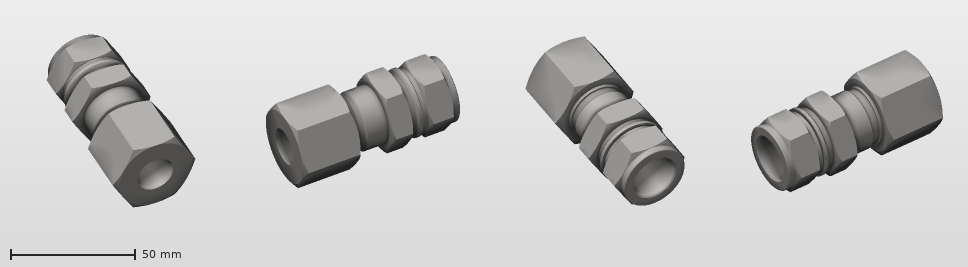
import math
import cadquery as cq

TOTAL_LENGTH = 72.57

NUT_FLATS = 28.575
BULKHEAD_FLATS = 30.16
FEMALE_FLATS = 31.8
CHAMFER_ANGLE = 30.0

NUT_FRONT_COLLAR_DIAMETER = 28.2
NUT_BACK_COLLAR_DIAMETER = 27.8
NUT_HEX_START = 2.95
NUT_HEX_END = 14.6
NUT_END = 16.6
NUT_FRONT_FILLET = 0.5
NUT_BACK_FILLET = 0.3

BODY_DIAMETER = 25.4
FLANGE_DIAMETER = 29.5
FLANGE_START = 17.17
FLANGE_END = 18.57
HUB_DIAMETER = 26.9
HUB_START = 19.6
HUB_END = 21.65
HUB_GROOVE_DIAMETER = 26.2

BULKHEAD_START = 22.0
BULKHEAD_END = 31.92
BULKHEAD_FACE_DIAMETER = 27.8
BULKHEAD_ROUNDING_DEPTH = 1.4

BODY_END = 41.2
RELIEF_DIAMETER = 23.7
COLLAR_START = 44.9
FEMALE_START = 46.25

TUBE_SOCKET_DIAMETER = 19.25
TUBE_SOCKET_DEPTH = 24.4
SOCKET_CHAMFER = 0.5
BORE_DIAMETER = 15.75


def cylinder(start, end, diameter):
    """Solid cylinder along X between two stations."""
    plane = cq.Workplane("YZ", origin=(start, 0, 0))
    return plane.circle(diameter / 2).extrude(end - start)


def cone(start, end, start_diameter, end_diameter):
    """Solid truncated cone along X between two stations."""
    profile = (
        cq.Workplane("XY")
        .moveTo(start, 0)
        .lineTo(start, start_diameter / 2)
        .lineTo(end, end_diameter / 2)
        .lineTo(end, 0)
        .close()
    )
    return profile.revolve(360, (0, 0, 0), (1, 0, 0))


def corner_diameter(flats):
    """Width across the corners of a hexagon."""
    return flats / math.cos(math.radians(30))


def hexagon(start, end, flats):
    """Hexagonal prism along X with corners on the Y axis."""
    plane = cq.Workplane("YZ", origin=(start, 0, 0))
    return plane.polygon(6, corner_diameter(flats)).extrude(end - start)


def chamfered_hexagon(start, end, flats, face_diameter):
    """Hexagon whose corners are cut by a cone growing from each end face."""
    corner_radius = corner_diameter(flats) / 2
    slope = math.tan(math.radians(CHAMFER_ANGLE))
    depth = (corner_radius - face_diameter / 2) * slope
    envelope = (
        cq.Workplane("XY")
        .moveTo(start, 0)
        .lineTo(start, face_diameter / 2)
        .lineTo(start + depth, corner_radius)
        .lineTo(end - depth, corner_radius)
        .lineTo(end, face_diameter / 2)
        .lineTo(end, 0)
        .close()
        .revolve(360, (0, 0, 0), (1, 0, 0))
    )
    return hexagon(start, end, flats).intersect(envelope)


def rounded_hexagon(start, end, flats, face_diameter, depth):
    """Hexagon whose corners are rounded by arcs tangent to the end faces."""
    corner_radius = corner_diameter(flats) / 2
    face_radius = face_diameter / 2
    rise = corner_radius - face_radius
    arc_radius = (depth**2 + rise**2) / (2 * depth)
    half_angle = math.asin(rise / arc_radius) / 2
    middle_depth = arc_radius * (1 - math.cos(half_angle))
    middle_radius = face_radius + arc_radius * math.sin(half_angle)
    envelope = (
        cq.Workplane("XY")
        .moveTo(start, 0)
        .lineTo(start, face_radius)
        .threePointArc((start + middle_depth, middle_radius), (start + depth, corner_radius))
        .lineTo(end - depth, corner_radius)
        .threePointArc((end - middle_depth, middle_radius), (end, face_radius))
        .lineTo(end, 0)
        .close()
        .revolve(360, (0, 0, 0), (1, 0, 0))
    )
    return hexagon(start, end, flats).intersect(envelope)


def tube_nut():
    """Hexagon nut with a filleted round collar at each end."""
    front = cylinder(0, NUT_HEX_START, NUT_FRONT_COLLAR_DIAMETER).faces("<X").edges().fillet(NUT_FRONT_FILLET)
    back = cylinder(NUT_HEX_END, NUT_END, NUT_BACK_COLLAR_DIAMETER).faces(">X").edges().fillet(NUT_BACK_FILLET)
    middle = chamfered_hexagon(NUT_HEX_START, NUT_HEX_END, NUT_FLATS, NUT_FRONT_COLLAR_DIAMETER)
    return front.union(middle).union(back)


def flange_and_hub():
    """Neck, flange with a tapered back, hub and narrow groove."""
    neck = cylinder(NUT_END, FLANGE_START, BODY_DIAMETER)
    flange = cylinder(FLANGE_START, FLANGE_END, FLANGE_DIAMETER)
    back = cone(FLANGE_END, HUB_START, FLANGE_DIAMETER, HUB_DIAMETER)
    hub = cylinder(HUB_START, HUB_END, HUB_DIAMETER)
    groove = cylinder(HUB_END, BULKHEAD_START, HUB_GROOVE_DIAMETER)
    return neck.union(flange).union(back).union(hub).union(groove)


def bulkhead_hexagon():
    return rounded_hexagon(
        BULKHEAD_START, BULKHEAD_END, BULKHEAD_FLATS, BULKHEAD_FACE_DIAMETER, BULKHEAD_ROUNDING_DEPTH
    )


def body():
    """Round body, 45 degree shoulder, relief and collar."""
    shoulder_end = BODY_END + (BODY_DIAMETER - RELIEF_DIAMETER) / 2
    barrel = cylinder(BULKHEAD_END, BODY_END, BODY_DIAMETER)
    shoulder = cone(BODY_END, shoulder_end, BODY_DIAMETER, RELIEF_DIAMETER)
    relief = cylinder(shoulder_end, COLLAR_START, RELIEF_DIAMETER)
    collar = cylinder(COLLAR_START, FEMALE_START, BODY_DIAMETER)
    return barrel.union(shoulder).union(relief).union(collar)


def female_end():
    """Large hexagon whose chamfers start at the inscribed circle of the flats."""
    return chamfered_hexagon(FEMALE_START, TOTAL_LENGTH, FEMALE_FLATS, FEMALE_FLATS)


def bore():
    """Through bore with a chamfered tube socket at the nut end."""
    mouth_diameter = TUBE_SOCKET_DIAMETER + 2 * SOCKET_CHAMFER
    passage = cylinder(0, TOTAL_LENGTH, BORE_DIAMETER)
    socket = cylinder(0, TUBE_SOCKET_DEPTH, TUBE_SOCKET_DIAMETER)
    mouth = cone(0, SOCKET_CHAMFER, mouth_diameter, TUBE_SOCKET_DIAMETER)
    return passage.union(socket).union(mouth)


fitting = tube_nut().union(flange_and_hub()).union(bulkhead_hexagon()).union(body()).union(female_end())
result = fitting.cut(bore())